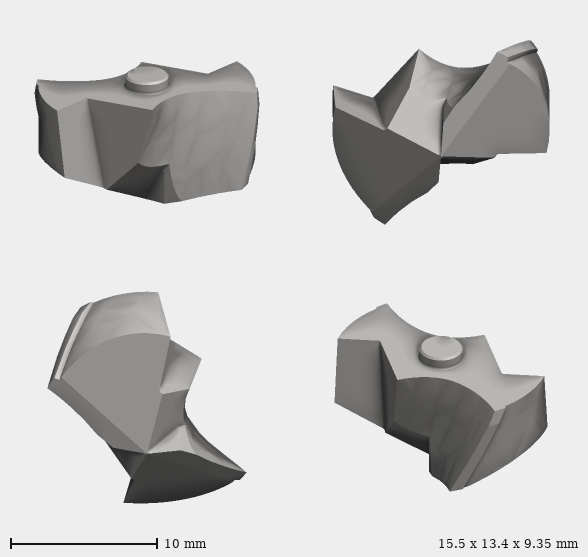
import cadquery as cq
import math

DECK_Z = 8.48
TOTAL_HEIGHT = 9.35
RIM_Z = 2.59

MARGIN_RADIUS = 7.75
MARGIN_TOP_RADIUS = 7.6
MARGIN_STOCK_RADIUS = 8.06
MARGIN_TAPER_Z = 7.52
LAND_RADIUS = 7.44
TWIST_ANGLE = 24.5
HEEL_ANGLE = 105.0

MARGIN_START_ANGLE = 14.5
FLUTE_THROUGH = [(3.72, 0.64), (2.57, -0.51), (2.0, -2.11)]
WEB_EDGE = (1.98, -3.56)
MARGIN_END_ANGLE = 19.6
STEP_END_ANGLE = 22.5

NOTCH_FLOOR_Y = 3.56
NOTCH_CORNER_X = 2.98
NOTCH_SIDE_ANGLE = 70.5
NOTCH_LEAN = 0.19
NOTCH_FILLET = 0.17

FLANK_X_SLOPE = 0.357
PRIMARY_Y_SLOPE = 0.11
SECONDARY_Y_SLOPE = 0.389
GASH_X_SLOPE = 1.03
GASH_Y_SLOPE = -0.95
LIP_BEND = (1.89, -1.33)
LIP_OUTER_ANGLE = 3.0
GASH_FILLET = 0.23

BOSS_RADIUS = 1.49
BOSS_CHAMFER = 0.14
BOSS_FILLET = 0.14

BIG = 31.0


def polar(radius, angle):
    """Point at a radius and an angle in degrees."""
    turn = math.radians(angle)
    return (radius * math.cos(turn), radius * math.sin(turn))


def opposite(point):
    return (-point[0], -point[1])


def half_turn(shape):
    return shape.rotate((0, 0, 0), (0, 0, 1), 180)


def below_plane(x_slope, y_slope):
    """Block filling the space under z = x_slope * x + y_slope * y."""
    plane = cq.Plane(origin=(0, 0, 0), xDir=(1, 0, x_slope), normal=(-x_slope, -y_slope, 1))
    return cq.Workplane(plane).rect(2 * BIG, 2 * BIG).extrude(-BIG)


def lobe_section():
    """Two-lobed outline as it stands at the deck, before the notches are cut."""
    start = polar(MARGIN_STOCK_RADIUS, MARGIN_START_ANGLE)
    margin_mid = polar(MARGIN_STOCK_RADIUS, (MARGIN_START_ANGLE + MARGIN_END_ANGLE) / 2)
    margin_end = polar(MARGIN_STOCK_RADIUS, MARGIN_END_ANGLE)
    step_end = polar(LAND_RADIUS, STEP_END_ANGLE)
    land_mid = polar(LAND_RADIUS, (STEP_END_ANGLE + HEEL_ANGLE) / 2)
    heel = polar(LAND_RADIUS, HEEL_ANGLE)
    flute = [opposite(p) for p in reversed(FLUTE_THROUGH)]

    outline = cq.Workplane("XY").moveTo(*start)
    for place in (lambda p: p, opposite):
        outline = (
            outline.threePointArc(place(margin_mid), place(margin_end))
            .lineTo(*place(step_end))
            .threePointArc(place(land_mid), place(heel))
            .lineTo(*place(opposite(WEB_EDGE)))
            .spline([place(p) for p in flute] + [place(opposite(start))], includeCurrent=True)
        )
    return outline.close()


def make_body():
    """Twisted lobes trimmed to the tapering margin envelope."""
    full_twist = TWIST_ANGLE * DECK_Z / (DECK_Z - RIM_Z)
    body = lobe_section().twistExtrude(DECK_Z, full_twist)
    body = body.rotate((0, 0, 0), (0, 0, 1), -full_twist)
    envelope = (
        cq.Workplane("XZ")
        .polyline([
            (0, 0),
            (MARGIN_RADIUS, 0),
            (MARGIN_RADIUS, MARGIN_TAPER_Z),
            (MARGIN_TOP_RADIUS, DECK_Z),
            (0, DECK_Z),
        ])
        .close()
        .revolve(360, (0, 0), (0, 1))
    )
    return body.intersect(envelope)


def notch_cutter():
    """Leaning wedge with a vertical floor and a rounded inner corner."""
    side = polar(BIG, NOTCH_SIDE_ANGLE)
    corner = (NOTCH_CORNER_X, NOTCH_FLOOR_Y)
    outline = [
        corner,
        (corner[0] + side[0], corner[1] + side[1]),
        (-BIG, corner[1] + side[1]),
        (-BIG, corner[1]),
    ]
    shift = NOTCH_LEAN * DECK_Z
    base = [(x - shift, y) for x, y in outline]
    wedge = (
        cq.Workplane("XY").polyline(base).close()
        .workplane(offset=DECK_Z).polyline(outline).close()
        .loft(ruled=True)
    )
    middle = (corner[0] - shift / 2, corner[1], DECK_Z / 2)
    return wedge.edges(cq.NearestToPointSelector(middle)).fillet(NOTCH_FILLET)


def gash_cutter():
    """Space under the gash floor and in front of the lip wall, rounded where they meet."""
    wall = [
        opposite(LIP_BEND),
        LIP_BEND,
        (BIG, LIP_BEND[1] - BIG * math.tan(math.radians(LIP_OUTER_ANGLE))),
        (BIG, -BIG),
        (-BIG, -BIG),
        (-BIG, LIP_BEND[1]),
    ]
    prism = cq.Workplane("XY").polyline(wall).close().extrude(BIG, both=True)
    gash = below_plane(GASH_X_SLOPE, GASH_Y_SLOPE).intersect(prism)
    root = cq.NearestToPointSelector((0, 0, 0))
    return gash.edges(root).fillet(GASH_FILLET)


def make_boss():
    height = TOTAL_HEIGHT - DECK_Z
    boss = cq.Workplane("XY").workplane(offset=DECK_Z).circle(BOSS_RADIUS).extrude(height)
    return boss.faces(">Z").chamfer(BOSS_CHAMFER)


result = make_body()
for cutter in (
    notch_cutter(),
    below_plane(FLANK_X_SLOPE, PRIMARY_Y_SLOPE),
    below_plane(FLANK_X_SLOPE, SECONDARY_Y_SLOPE),
    gash_cutter(),
):
    result = result.cut(cutter).cut(half_turn(cutter))

result = result.union(make_boss())
foot_zone = cq.selectors.BoxSelector(
    (-BOSS_RADIUS, -BOSS_RADIUS, DECK_Z - BOSS_FILLET / 2),
    (BOSS_RADIUS, BOSS_RADIUS, DECK_Z + BOSS_FILLET / 2),
)
result = result.edges(foot_zone).edges("%CIRCLE").fillet(BOSS_FILLET)